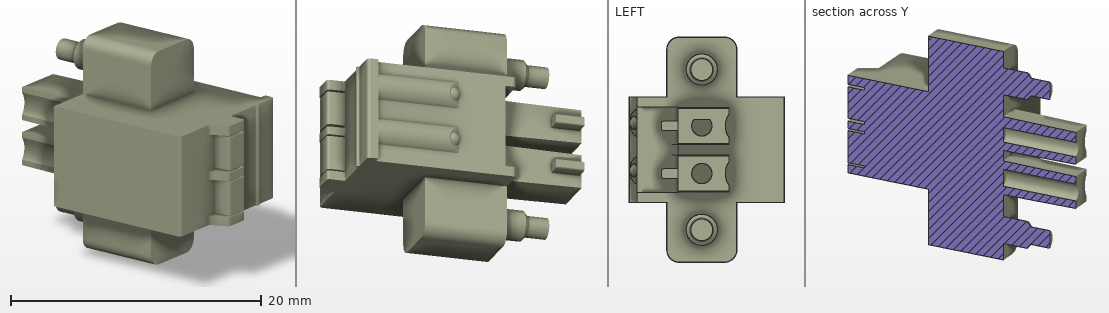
import cadquery as cq
import math


BODY_LENGTH = 12.7
BODY_HALF_HEIGHT = 4.22
BODY_BOTTOM_Y = -6.6
BODY_TOP_Y = 5.2
CORNER_RADIUS = 0.3
RAIL_TOP_Y = 5.8
RAIL_FRONT_X = 11.8

FLANGE_LENGTH = 6.88
FLANGE_HALF_WIDTH = 2.8
FLANGE_HALF_HEIGHT = 9.0
FLANGE_RADIUS = 1.0

PIN_OFFSET_Z = 6.4
PIN_LENGTH = 4.2
PIN_TIP_RADIUS = 0.87
PIN_BASE_RADIUS = 1.25
PIN_BASE_LENGTH = 2.12
PIN_CONE_LENGTH = PIN_BASE_RADIUS - PIN_TIP_RADIUS

PITCH = 3.8
PLUG_CENTERS = (PITCH / 2, -PITCH / 2)
PLUG_LENGTH = 6.6
PLUG_TOP_Y = 1.9
PLUG_BOTTOM_Y = -2.18
PLUG_TIP_HALF = 1.4
PLUG_ROOT_HALF = 1.48
PLUG_HOLE_RADIUS = 0.81
HOLE_FLAT_HEIGHT = 0.5
GROOVE_HALF_WIDTH = 0.94
GROOVE_DEPTH = 0.31

RIB_SETBACK = 0.19
RIB_LENGTH = 2.4
RIB_TOP_Y = 3.2
RIB_THICKNESS = 0.77
RIB_BEVEL_HEIGHT = 0.12
RIB_BEVEL_WIDTH = 0.06

CHANNEL_DEPTH = 0.9
CHANNEL_HALF_HEIGHT = 3.41
CHANNEL_RADIUS = 0.5
WEB_HALF_HEIGHT = 0.42

RIDGE_RADIUS = 1.33
RIDGE_SHIFT_Z = 0.25
RIDGE_FRONT_X = 4.87
RIDGE_FRONT_SLOPE_LENGTH = 0.92
NOSE_RADIUS = 0.6
NOSE_CENTER_X = 5.37

LEVER_END_X = 14.2
LEVER_TOP_Y = 0.0
LEVER_EDGE_RADIUS = 0.25
BUTTON_BOTTOM_Y = -2.08
LUG_ROOT_Y = -2.8
LUG_SLOPE_END_Y = -2.12
LUG_ROOT_RADIUS = 0.19
LUG_SPANS = ((3.41, BODY_HALF_HEIGHT), (-0.4, 0.27), (-BODY_HALF_HEIGHT, -3.47))
BUTTON_SPANS = ((0.48, 3.22), (-3.35, -0.55))
BEAD_RADIUS = 0.2
BEAD_Y = 3.5


def prism(outline, z_low, z_high):
    """Extrude a closed XY outline from z_low to z_high."""
    return outline.extrude(z_high - z_low).translate((0, 0, z_low))


def block(x_span, y_span, z_span):
    corner = (x_span[0], y_span[0], z_span[0])
    size = (x_span[1] - x_span[0], y_span[1] - y_span[0], z_span[1] - z_span[0])
    return cq.Workplane("XY").box(*size, centered=False).translate(corner)


def make_housing():
    outline = (
        cq.Workplane("XY")
        .moveTo(0, BODY_BOTTOM_Y)
        .lineTo(BODY_LENGTH, BODY_BOTTOM_Y)
        .lineTo(BODY_LENGTH, RAIL_TOP_Y)
        .lineTo(RAIL_FRONT_X, RAIL_TOP_Y)
        .lineTo(RAIL_FRONT_X, BODY_TOP_Y)
        .lineTo(0, BODY_TOP_Y)
        .close()
    )
    housing = prism(outline, -BODY_HALF_HEIGHT, BODY_HALF_HEIGHT)
    housing = housing.edges("|Z and >X").fillet(CORNER_RADIUS)
    front_top_edge = cq.selectors.NearestToPointSelector((0, BODY_TOP_Y, 0))
    return housing.edges(front_top_edge).fillet(CORNER_RADIUS)


def make_flange():
    flange = block(
        (0, FLANGE_LENGTH),
        (-FLANGE_HALF_WIDTH, FLANGE_HALF_WIDTH),
        (-FLANGE_HALF_HEIGHT, FLANGE_HALF_HEIGHT),
    )
    return flange.edges("|X").fillet(FLANGE_RADIUS)


def channel_cut(z_low, z_high, floor_radius):
    """Front channel over one Z span, open at the front and top, with an optional round at its floor."""
    outline = (
        cq.Workplane("XY")
        .moveTo(0, PLUG_TOP_Y)
        .lineTo(CHANNEL_DEPTH, PLUG_TOP_Y)
        .lineTo(CHANNEL_DEPTH, BODY_TOP_Y)
        .lineTo(0, BODY_TOP_Y)
        .close()
    )
    channel = prism(outline, z_low, z_high)
    if floor_radius:
        channel = channel.edges("|Z and >X and <Y").fillet(floor_radius)
    return channel


def make_pin(center_z):
    cone_start = -PIN_BASE_LENGTH
    cone_end = cone_start - PIN_CONE_LENGTH
    half_section = (
        cq.Workplane("XY")
        .moveTo(0, 0)
        .lineTo(0, PIN_BASE_RADIUS)
        .lineTo(cone_start, PIN_BASE_RADIUS)
        .lineTo(cone_end, PIN_TIP_RADIUS)
        .lineTo(-PIN_LENGTH, PIN_TIP_RADIUS)
        .lineTo(-PIN_LENGTH, 0)
        .close()
    )
    return half_section.revolve(360, (0, 0, 0), (1, 0, 0)).translate((0, 0, center_z))


def make_plug(center_z):
    """Drafted plug with a shallow round groove along its -Y side and a bevelled rib near its tip."""
    body = (
        cq.Workplane("XZ", origin=(0, PLUG_TOP_Y, 0))
        .moveTo(-PLUG_LENGTH, -PLUG_TIP_HALF)
        .lineTo(0, -PLUG_ROOT_HALF)
        .lineTo(0, PLUG_ROOT_HALF)
        .lineTo(-PLUG_LENGTH, PLUG_TIP_HALF)
        .close()
        .extrude(PLUG_TOP_Y - PLUG_BOTTOM_Y)
    )
    groove = (
        cq.Workplane("YZ", origin=(-PLUG_LENGTH, 0, 0))
        .moveTo(PLUG_BOTTOM_Y, -GROOVE_HALF_WIDTH)
        .threePointArc((PLUG_BOTTOM_Y + GROOVE_DEPTH, 0), (PLUG_BOTTOM_Y, GROOVE_HALF_WIDTH))
        .close()
        .extrude(PLUG_LENGTH)
    )
    rib_front = RIB_SETBACK - PLUG_LENGTH
    rib_half = RIB_THICKNESS / 2
    rib_tip_half = rib_half - RIB_BEVEL_WIDTH
    bevel_y = RIB_TOP_Y - RIB_BEVEL_HEIGHT
    rib = (
        cq.Workplane("YZ", origin=(rib_front, 0, 0))
        .moveTo(0, -rib_half)
        .lineTo(bevel_y, -rib_half)
        .lineTo(RIB_TOP_Y, -rib_tip_half)
        .lineTo(RIB_TOP_Y, rib_tip_half)
        .lineTo(bevel_y, rib_half)
        .lineTo(0, rib_half)
        .close()
        .extrude(RIB_LENGTH)
    )
    return body.cut(groove).union(rib).translate((0, 0, center_z))


def plug_hole(center_z):
    hole = cq.Workplane("YZ", origin=(-PLUG_LENGTH, 0, center_z)).circle(PLUG_HOLE_RADIUS)
    return hole.extrude(PLUG_LENGTH)


def hole_flat(center_z):
    """Slab above the flat of a D-shaped hole."""
    return block(
        (-PLUG_LENGTH, 0),
        (-PLUG_HOLE_RADIUS, PLUG_HOLE_RADIUS),
        (center_z + HOLE_FLAT_HEIGHT, center_z + PLUG_HOLE_RADIUS),
    )


def make_ridge(center_z):
    """Round ridge with a front end that slopes back, and a ball nose in front of it."""
    axis_y = RAIL_TOP_Y - RIDGE_RADIUS
    bar = (
        cq.Workplane("YZ", origin=(RIDGE_FRONT_X, axis_y, center_z))
        .circle(RIDGE_RADIUS)
        .extrude(RAIL_FRONT_X - RIDGE_FRONT_X)
    )
    end_wedge = (
        cq.Workplane("XY")
        .moveTo(RIDGE_FRONT_X, BODY_TOP_Y)
        .lineTo(RIDGE_FRONT_X + RIDGE_FRONT_SLOPE_LENGTH, RAIL_TOP_Y)
        .lineTo(RIDGE_FRONT_X, RAIL_TOP_Y)
        .close()
    )
    bar = bar.cut(prism(end_wedge, center_z - RIDGE_RADIUS, center_z + RIDGE_RADIUS))
    nose = cq.Workplane("XY").sphere(NOSE_RADIUS)
    return bar.union(nose.translate((NOSE_CENTER_X, BODY_TOP_Y, center_z)))


def make_lug(z_low, z_high):
    """Fixed lug with a sloped underside, blended into the housing back."""
    back = BODY_LENGTH
    slope = math.atan2(LUG_SLOPE_END_Y - LUG_ROOT_Y, LEVER_END_X - back)
    tangent_length = LUG_ROOT_RADIUS * math.tan((math.pi / 2 - slope) / 2)
    slope_start = (
        back + tangent_length * math.cos(slope),
        LUG_ROOT_Y + tangent_length * math.sin(slope),
    )
    outline = (
        cq.Workplane("XY")
        .moveTo(back, LUG_ROOT_Y - tangent_length)
        .radiusArc(slope_start, LUG_ROOT_RADIUS)
        .lineTo(LEVER_END_X, LUG_SLOPE_END_Y)
        .lineTo(LEVER_END_X, LEVER_TOP_Y)
        .lineTo(back + LUG_ROOT_RADIUS, LEVER_TOP_Y)
        .radiusArc((back, LEVER_TOP_Y + LUG_ROOT_RADIUS), LUG_ROOT_RADIUS)
        .close()
    )
    return prism(outline, z_low, z_high).edges("|Z and >X").fillet(LEVER_EDGE_RADIUS)


def make_button(z_low, z_high):
    button = block((BODY_LENGTH, LEVER_END_X), (BUTTON_BOTTOM_Y, LEVER_TOP_Y), (z_low, z_high))
    return button.edges("|Z and >X").fillet(LEVER_EDGE_RADIUS)


def make_bead():
    outline = cq.Workplane("XY").center(BODY_LENGTH, BEAD_Y).circle(BEAD_RADIUS)
    return prism(outline, -BODY_HALF_HEIGHT, BODY_HALF_HEIGHT)


result = make_housing().union(make_flange()).union(make_bead())

result = result.cut(channel_cut(-WEB_HALF_HEIGHT, WEB_HALF_HEIGHT, 0))
result = result.cut(channel_cut(WEB_HALF_HEIGHT, CHANNEL_HALF_HEIGHT, CHANNEL_RADIUS))
result = result.cut(channel_cut(-CHANNEL_HALF_HEIGHT, -WEB_HALF_HEIGHT, CHANNEL_RADIUS))

for pin_z in (PIN_OFFSET_Z, -PIN_OFFSET_Z):
    result = result.union(make_pin(pin_z))

for plug_z in PLUG_CENTERS:
    result = result.union(make_plug(plug_z))
    result = result.union(make_ridge(plug_z + RIDGE_SHIFT_Z))

upper_z, lower_z = PLUG_CENTERS
result = result.cut(plug_hole(upper_z).cut(hole_flat(upper_z)))
result = result.cut(plug_hole(lower_z))

for span in LUG_SPANS:
    result = result.union(make_lug(*span))
for span in BUTTON_SPANS:
    result = result.union(make_button(*span))